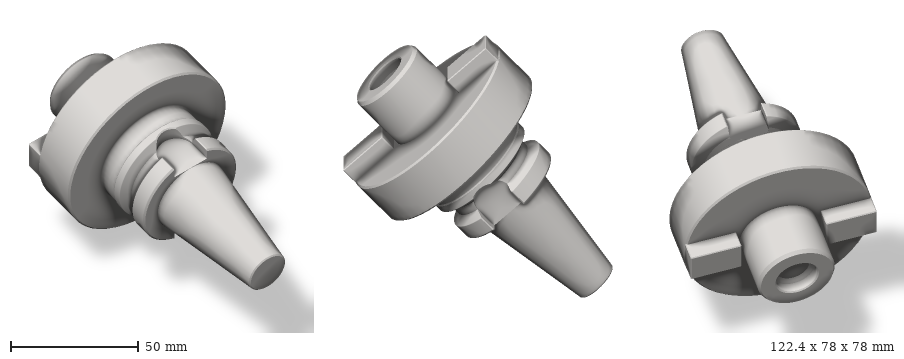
import cadquery as cq
import math

total_length = 122.4
flange_start = 24.0
flange_end = 44.1
rim_start = 52.8
collar_end = 72.0
gauge_line = 74.0

pilot_diameter = 32.0
flange_diameter = 78.0
neck_diameter = 45.0
collar_diameter = 46.0
groove_diameter = 38.0
gauge_diameter = 31.7

pilot_chamfer_length = 1.5
pilot_chamfer_depth = 1.0
flange_chamfer = 0.7
neck_fillet = 0.7
collar_chamfer = 0.7
collar_fillet = 0.4
tip_chamfer = 0.5

groove_floor_start = 58.4
groove_floor_end = 62.2
groove_flank_angle = 30.0

taper_ratio = 7 / 24

recess_mouth_diameter = 18.0
recess_diameter = 17.0
recess_floor_diameter = 13.8
recess_wall_end = 4.3

lug_start = 17.0
lug_width = 13.6
lug_inner = 17.5
lug_outer = 38.4
lug_chamfer = 0.4

slot_width = 16.0
slot_floor = 16.3
slot_arc_center = 62.9
slot_chamfer = 0.5

tolerance = 0.001


def taper_radius(x):
    return (gauge_diameter - taper_ratio * (x - gauge_line)) / 2


def is_collar_rim(edge):
    """True for the two groove rims and the rear rim of the collar."""
    at_radius = edge.geomType() == "CIRCLE" and abs(edge.radius() - collar_diameter / 2) < tolerance
    return at_radius and edge.Center().x > rim_start + tolerance


def make_body():
    pilot_radius = pilot_diameter / 2
    flange_radius = flange_diameter / 2
    neck_radius = neck_diameter / 2
    collar_radius = collar_diameter / 2
    groove_radius = groove_diameter / 2
    rim_step = collar_radius - neck_radius
    flank_length = (collar_radius - groove_radius) * math.tan(math.radians(groove_flank_angle))
    fillet_middle = neck_fillet * (1 - math.sqrt(0.5))
    tip_radius = taper_radius(total_length)
    return (
        cq.Workplane("XY")
        .moveTo(0, 0)
        .lineTo(0, pilot_radius - pilot_chamfer_depth)
        .lineTo(pilot_chamfer_length, pilot_radius)
        .lineTo(flange_start, pilot_radius)
        .lineTo(flange_start, flange_radius - flange_chamfer)
        .lineTo(flange_start + flange_chamfer, flange_radius)
        .lineTo(flange_end - flange_chamfer, flange_radius)
        .lineTo(flange_end, flange_radius - flange_chamfer)
        .lineTo(flange_end, neck_radius + neck_fillet)
        .threePointArc(
            (flange_end + fillet_middle, neck_radius + fillet_middle),
            (flange_end + neck_fillet, neck_radius),
        )
        .lineTo(rim_start - rim_step, neck_radius)
        .lineTo(rim_start, collar_radius)
        .lineTo(groove_floor_start - flank_length, collar_radius)
        .lineTo(groove_floor_start, groove_radius)
        .lineTo(groove_floor_end, groove_radius)
        .lineTo(groove_floor_end + flank_length, collar_radius)
        .lineTo(collar_end - collar_chamfer, collar_radius)
        .lineTo(collar_end, collar_radius - collar_chamfer)
        .lineTo(collar_end, taper_radius(collar_end))
        .lineTo(total_length - tip_chamfer, taper_radius(total_length - tip_chamfer))
        .lineTo(total_length, tip_radius - tip_chamfer)
        .lineTo(total_length, 0)
        .close()
        .revolve(360, (0, 0, 0), (1, 0, 0))
    )


def make_recess():
    mouth_chamfer = (recess_mouth_diameter - recess_diameter) / 2
    recess_depth = recess_wall_end + (recess_diameter - recess_floor_diameter) / 2
    return (
        cq.Workplane("XY")
        .moveTo(0, 0)
        .lineTo(0, recess_mouth_diameter / 2)
        .lineTo(mouth_chamfer, recess_diameter / 2)
        .lineTo(recess_wall_end, recess_diameter / 2)
        .lineTo(recess_depth, recess_floor_diameter / 2)
        .lineTo(recess_depth, 0)
        .close()
        .revolve(360, (0, 0, 0), (1, 0, 0))
    )


def make_lug():
    lug_end = flange_start + flange_chamfer
    return (
        cq.Workplane("XY")
        .box(lug_end - lug_start, lug_outer - lug_inner, lug_width, centered=(False, False, True))
        .edges("<X or |X")
        .chamfer(lug_chamfer)
        .translate((lug_start, lug_inner, 0))
    )


def make_slot():
    end_radius = slot_width / 2
    return (
        cq.Workplane("XY", origin=(0, 0, slot_floor))
        .moveTo(collar_end, -end_radius)
        .lineTo(slot_arc_center, -end_radius)
        .threePointArc((slot_arc_center - end_radius, 0), (slot_arc_center, end_radius))
        .lineTo(collar_end, end_radius)
        .close()
        .extrude(collar_diameter / 2)
    )


def is_slot_rim(edge):
    """True for an edge where a slot wall meets the outer cylinder of the collar."""
    middle = edge.positionAt(0.5)
    on_collar = abs(math.hypot(middle.y, middle.z) - collar_diameter / 2) < tolerance
    in_slot = abs(middle.y) < slot_width / 2 + tolerance
    return on_collar and in_slot and edge.geomType() != "CIRCLE"


body = make_body().cut(make_recess())
lug = make_lug()
slot = make_slot()
for angle in (0, 180):
    body = body.cut(slot.rotate((0, 0, 0), (1, 0, 0), angle))
    body = body.union(lug.rotate((0, 0, 0), (1, 0, 0), angle))

body = body.edges().filter(is_slot_rim).chamfer(slot_chamfer)
result = body.edges().filter(is_collar_rim).fillet(collar_fillet)